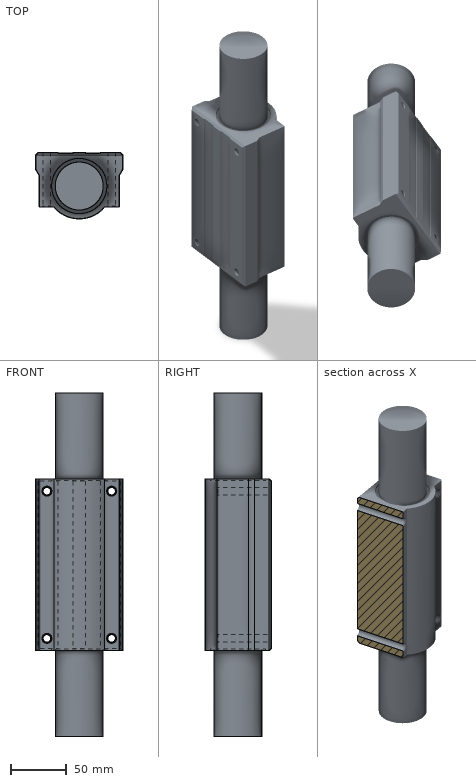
import cadquery as cq
import math

shaft_diameter = 43.0
shaft_length = 308.0

block_length = shaft_length / 2
flange_width = 78.0
body_width = 72.0
barrel_radius = 29.5
mount_y = 30.0
flange_lower_y = 14.8
shoulder_angle = 60.0
ledge_y = -19.0
mount_chamfer = 2.0
body_corner_radius = 1.0

groove_inner_x = 5.5
groove_outer_x = 19.0
groove_depth = 0.5

bearing_diameter = 49.5
bearing_recess = 1.5

hole_spacing_x = 58.0
hole_spacing_z = 132.0
hole_diameter = 6.8
hole_mouth_diameter = 8.8


def make_block():
    """Flange, shoulders, body and barrel as one profile, chamfered around the mounting face."""
    half_flange = flange_width / 2
    half_body = body_width / 2
    shoulder_drop = (half_flange - half_body) * math.tan(math.radians(shoulder_angle))
    body_upper_y = flange_lower_y - shoulder_drop
    half_chord = math.sqrt(barrel_radius**2 - ledge_y**2)
    profile = (
        cq.Workplane("XY")
        .workplane(offset=-block_length / 2)
        .moveTo(-half_flange, mount_y)
        .lineTo(-half_flange, flange_lower_y)
        .lineTo(-half_body, body_upper_y)
        .lineTo(-half_body, ledge_y + body_corner_radius)
        .tangentArcPoint((body_corner_radius, -body_corner_radius))
        .lineTo(-half_chord, ledge_y)
        .threePointArc((0, -barrel_radius), (half_chord, ledge_y))
        .lineTo(half_body - body_corner_radius, ledge_y)
        .tangentArcPoint((body_corner_radius, body_corner_radius))
        .lineTo(half_body, body_upper_y)
        .lineTo(half_flange, flange_lower_y)
        .lineTo(half_flange, mount_y)
        .close()
    )
    block = profile.extrude(block_length)
    return block.faces(">Y").edges().chamfer(mount_chamfer)


def cut_mounting_grooves(block):
    """Two full-length grooves in the mounting face."""
    groove_width = groove_outer_x - groove_inner_x
    groove_center_x = (groove_inner_x + groove_outer_x) / 2
    grooves = (
        cq.Workplane("XY")
        .pushPoints([(-groove_center_x, mount_y), (groove_center_x, mount_y)])
        .rect(groove_width, 2 * groove_depth)
        .extrude(block_length / 2, both=True)
    )
    return block.cut(grooves)


def cut_bearing_recesses(block):
    """Shallow round recess in both ends of the block."""
    for start in (-block_length / 2, block_length / 2 - bearing_recess):
        recess = (
            cq.Workplane("XY")
            .workplane(offset=start)
            .circle(bearing_diameter / 2)
            .extrude(bearing_recess)
        )
        block = block.cut(recess)
    return block


def cut_mounting_holes(block):
    """Four through holes, countersunk at the ledges."""
    sink = (hole_mouth_diameter - hole_diameter) / 2
    for x in (-hole_spacing_x / 2, hole_spacing_x / 2):
        for z in (-hole_spacing_z / 2, hole_spacing_z / 2):
            start = cq.Vector(x, ledge_y, z)
            along = cq.Vector(0, 1, 0)
            hole = cq.Solid.makeCylinder(hole_diameter / 2, mount_y - ledge_y, start, along)
            mouth = cq.Solid.makeCone(hole_mouth_diameter / 2, hole_diameter / 2, sink, start, along)
            block = block.cut(cq.Workplane(obj=hole)).cut(cq.Workplane(obj=mouth))
    return block


shaft = (
    cq.Workplane("XY")
    .workplane(offset=-shaft_length / 2)
    .circle(shaft_diameter / 2)
    .extrude(shaft_length)
)
block = cut_mounting_grooves(make_block())
block = cut_bearing_recesses(block)
block = cut_mounting_holes(block)
result = block.union(shaft)